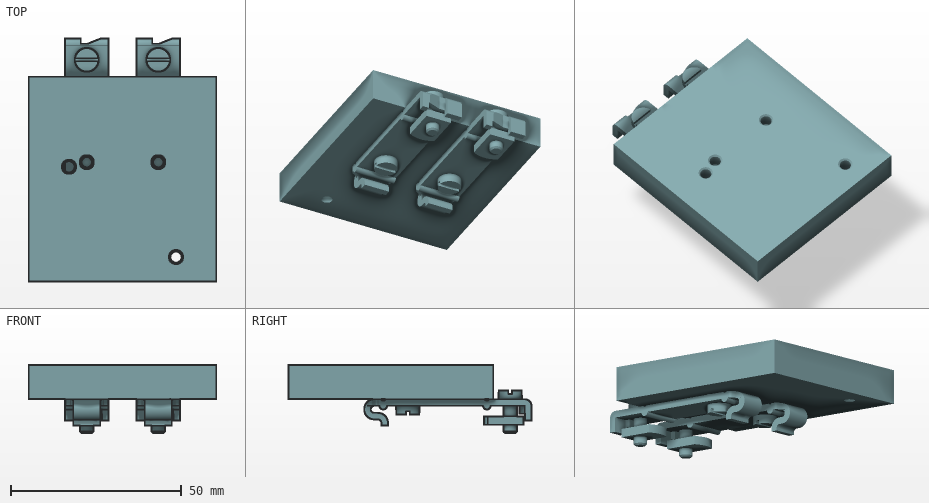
import cadquery as cq
import math

plate_width = 55.0
plate_depth = 60.0
plate_height = 10.05
plate_hole_diameter = 3.3
plate_hole_rim_diameter = 4.2
fixing_hole_offset = 15.65
left_fixing_hole_y = 33.6
right_fixing_hole_y = 7.2

clip_pitch = 20.9
clip_width = 12.8
sheet = 2.0
clip_back_y = 71.2
leg_height = 6.3

hook_width = 8.0
bend_inner_radius = 1.0
bend_outer_radius = bend_inner_radius + sheet
upper_bend_y = 25.1
lower_bend_y = 26.2
hook_tip_length = 0.8

shoulder_wide_y = 25.55
shoulder_narrow_y = 24.2
shoulder_outer_radius = 0.9
shoulder_inner_radius = 1.65
corner_reach = 0.1

rib_positions = (58.1, 27.8)
rib_half_width = 1.15
rib_depth = 1.1
groove_half_width = 0.6
groove_depth = 0.4

tab_left_x = -1.7
tab_bend_x = 0.2
tab_right_outer_x = 4.1
tab_right_inner_x = 4.4
tab_push = 1.6
tab_height = 4.35

thread_diameter = 4.0
thread_chamfer = 0.5
head_base_diameter = 7.05
head_top_diameter = 6.8
head_height = 2.55
slot_width = 1.0
slot_depth = 1.0
clamp_screw_y = 64.9
clamp_screw_length = 10.0
plate_screw_y = 34.95
plate_screw_length = 8.0

nut_width = 8.0
nut_back_y = 68.85
nut_front_radius = 7.7
nut_top_z = -5.05
nut_height = 2.5

middle_x = plate_width / 2
clip_positions = (middle_x - clip_pitch / 2, middle_x + clip_pitch / 2)


def side_profile(width):
    """Sketch plane for (Y, Z) outlines; extruding by the width centres the body on X = 0."""
    return cq.Workplane("YZ", origin=(-width / 2, 0, 0))


def countersunk_hole(x, y):
    """Through hole with a 45-degree rim on the plate's top face."""
    rim_depth = (plate_hole_rim_diameter - plate_hole_diameter) / 2
    bore = cq.Workplane("XY").center(x, y).circle(plate_hole_diameter / 2).extrude(plate_height)
    rim = (
        cq.Workplane("XY", origin=(x, y, plate_height - rim_depth))
        .circle(plate_hole_diameter / 2)
        .workplane(offset=rim_depth)
        .circle(plate_hole_rim_diameter / 2)
        .loft(combine=True)
    )
    return bore.union(rim)


def make_plate():
    plate = cq.Workplane("XY").box(plate_width, plate_depth, plate_height, centered=False)
    hole_centres = [(x, plate_screw_y) for x in clip_positions]
    hole_centres.append((middle_x - fixing_hole_offset, left_fixing_hole_y))
    hole_centres.append((middle_x + fixing_hole_offset, right_fixing_hole_y))
    for x, y in hole_centres:
        plate = plate.cut(countersunk_hole(x, y))
    return plate


def make_screw(length):
    """Screw pointing down from a head that rests on Z = 0; the slot runs along X."""
    thread = (
        cq.Workplane("XY").circle(thread_diameter / 2).extrude(-length)
        .faces("<Z").chamfer(thread_chamfer)
    )
    head = (
        cq.Workplane("XY").circle(head_base_diameter / 2)
        .workplane(offset=head_height).circle(head_top_diameter / 2).loft(combine=True)
    )
    slot = (
        cq.Workplane("XY", origin=(0, 0, head_height - slot_depth))
        .rect(head_base_diameter, slot_width).extrude(slot_depth)
    )
    return thread.union(head.cut(slot))


def make_strip():
    """Flat sheet and back leg, narrowed to the hook width by rounded shoulders."""
    front_y = upper_bend_y - bend_outer_radius
    half_clip = clip_width / 2
    half_hook = hook_width / 2
    plan = (
        cq.Workplane("XY")
        .polyline([
            (-half_clip, clip_back_y), (-half_clip, shoulder_wide_y), (-half_hook, shoulder_narrow_y),
            (-half_hook, front_y), (half_hook, front_y), (half_hook, shoulder_narrow_y),
            (half_clip, shoulder_wide_y), (half_clip, clip_back_y),
        ])
        .close()
        .extrude(-leg_height)
    )
    for corner_x, corner_y, radius in (
        (half_clip, shoulder_wide_y, shoulder_outer_radius),
        (half_hook, shoulder_narrow_y, shoulder_inner_radius),
    ):
        for x in (-corner_x, corner_x):
            corner = cq.selectors.BoxSelector(
                (x - corner_reach, corner_y - corner_reach, -leg_height),
                (x + corner_reach, corner_y + corner_reach, 0),
            )
            plan = plan.edges(corner).fillet(radius)

    bend_drop = bend_outer_radius - sheet
    bend_end_y = upper_bend_y - math.sqrt(bend_outer_radius ** 2 - bend_drop ** 2)
    bend_middle = bend_outer_radius * math.sqrt(0.5)
    section = (
        side_profile(clip_width)
        .moveTo(clip_back_y, -leg_height)
        .lineTo(clip_back_y, -sheet)
        .radiusArc((clip_back_y - sheet, 0), -sheet)
        .lineTo(upper_bend_y, 0)
        .threePointArc(
            (upper_bend_y - bend_middle, bend_middle - bend_outer_radius), (bend_end_y, -sheet)
        )
        .lineTo(clip_back_y - sheet, -sheet)
        .lineTo(clip_back_y - sheet, -leg_height)
        .close()
        .extrude(clip_width)
    )
    return plan.intersect(section)


def make_hook():
    """S-shaped hook: a half-turn back under the sheet, then a quarter-turn down to the tip."""
    upper_centre_z = -bend_outer_radius
    return_top_z = upper_centre_z - bend_inner_radius
    return_bottom_z = upper_centre_z - bend_outer_radius
    lower_centre_z = return_top_z - bend_outer_radius
    tip_z = lower_centre_z - hook_tip_length
    diagonal = math.sqrt(0.5)
    return (
        side_profile(hook_width)
        .moveTo(upper_bend_y, 0)
        .threePointArc((upper_bend_y - bend_outer_radius, upper_centre_z), (upper_bend_y, return_bottom_z))
        .lineTo(lower_bend_y, return_bottom_z)
        .threePointArc(
            (lower_bend_y + bend_inner_radius * diagonal, lower_centre_z + bend_inner_radius * diagonal),
            (lower_bend_y + bend_inner_radius, lower_centre_z),
        )
        .lineTo(lower_bend_y + bend_inner_radius, tip_z)
        .lineTo(lower_bend_y + bend_outer_radius, tip_z)
        .lineTo(lower_bend_y + bend_outer_radius, lower_centre_z)
        .threePointArc(
            (lower_bend_y + bend_outer_radius * diagonal, lower_centre_z + bend_outer_radius * diagonal),
            (lower_bend_y, return_top_z),
        )
        .lineTo(upper_bend_y, return_top_z)
        .threePointArc((upper_bend_y - bend_inner_radius, upper_centre_z), (upper_bend_y, -sheet))
        .close()
        .extrude(hook_width)
    )


def push_tab(clip):
    """Displace the middle of the back leg inward; below the tab the leg is open."""
    leg_inner_y = clip_back_y - sheet
    tab_outer_y = clip_back_y - tab_push
    tab_inner_y = leg_inner_y - tab_push
    recess = (
        cq.Workplane("XY")
        .polyline([
            (tab_left_x, clip_back_y), (tab_left_x, tab_outer_y),
            (tab_bend_x, tab_outer_y), (tab_right_outer_x, clip_back_y),
        ])
        .close()
        .extrude(-leg_height)
    )
    opening = cq.Workplane("XY", origin=(tab_left_x, leg_inner_y, -leg_height)).box(
        tab_right_inner_x - tab_left_x, sheet, leg_height - tab_height, centered=False
    )
    tab = (
        cq.Workplane("XY", origin=(0, 0, -tab_height))
        .polyline([
            (tab_left_x, leg_inner_y), (tab_left_x, tab_inner_y),
            (tab_bend_x, tab_inner_y), (tab_right_inner_x, leg_inner_y),
        ])
        .close()
        .extrude(tab_height - sheet)
    )
    return clip.cut(recess).cut(opening).union(tab)


def press_rib(clip, y):
    """Rounded rib under the sheet with a small rounded groove above it."""
    rib = (
        side_profile(clip_width)
        .moveTo(y - rib_half_width, -sheet)
        .threePointArc((y, -sheet - rib_depth), (y + rib_half_width, -sheet))
        .close()
        .extrude(clip_width)
    )
    groove = (
        side_profile(clip_width)
        .moveTo(y - groove_half_width, 0)
        .threePointArc((y, -groove_depth), (y + groove_half_width, 0))
        .close()
        .extrude(clip_width)
    )
    return clip.union(rib).cut(groove)


def make_nut():
    """Clamping plate whose front end is an arc about the screw axis."""
    half_width = nut_width / 2
    front_corner_y = clamp_screw_y - math.sqrt(nut_front_radius ** 2 - half_width ** 2)
    return (
        cq.Workplane("XY", origin=(0, 0, nut_top_z))
        .moveTo(-half_width, nut_back_y)
        .lineTo(-half_width, front_corner_y)
        .threePointArc((0, clamp_screw_y - nut_front_radius), (half_width, front_corner_y))
        .lineTo(half_width, nut_back_y)
        .close()
        .extrude(-nut_height)
    )


def make_clip():
    """Folded clip with its nut and both screws, centred on X = 0."""
    clip = push_tab(make_strip().union(make_hook()))
    for y in rib_positions:
        clip = press_rib(clip, y)
    clamp_screw = make_screw(clamp_screw_length).translate((0, clamp_screw_y, 0))
    plate_screw = (
        make_screw(plate_screw_length)
        .rotate((0, 0, 0), (1, 0, 0), 180)
        .translate((0, plate_screw_y, -sheet))
    )
    return clip.union(make_nut()).union(clamp_screw).union(plate_screw)


result = make_plate()
clip_assembly = make_clip()
for clip_x in clip_positions:
    result = result.union(clip_assembly.translate((clip_x, 0, 0)))